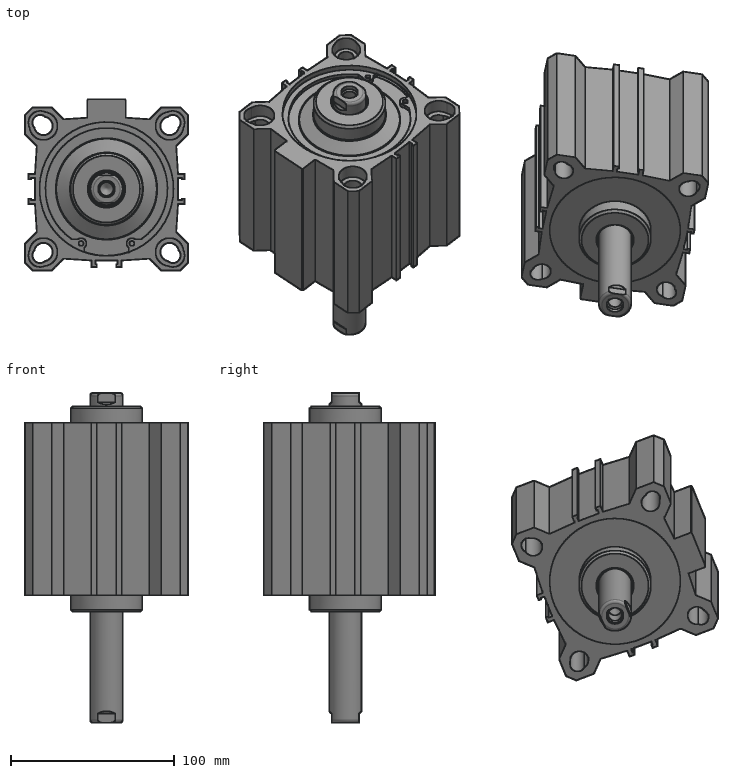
import cadquery as cq
import math

housing_height = 105.8
housing_width = 100.0
lobe_chamfer = 4.8
lobe_face_end = 33.5
valley_depth = 7.3
wall_offset = 43.8
wall_flat_half = 9.3
wall_overlap = 2.0

rail_outer = 9.3
rail_stem_inner = 6.7
rail_lip_inner = 5.9
rail_reach = 47.9
rail_lip_thickness = 1.8

port_width = 23.6
overall_depth = 105.0
port_chamfer = 0.6

main_hole_offset = 38.5
main_hole_diameter = 11.1
main_counterbore_diameter = 17.2
relief_hole_offset = 40.6
relief_hole_diameter = 9.3
relief_counterbore_diameter = 14.3
counterbore_depth = 9.3

bore_diameter = 80.0
seat_diameter = 82.0
flange_diameter = 81.6
ring_groove_diameter = 85.6
ring_drop = 3.8
ring_thickness = 2.5
cover_thickness = 16.2
boss_diameter = 44.0
boss_height = 10.0
boss_chamfer = 1.52

cone_base_diameter = 62.2
cone_base_step = 0.5
cone_base_ledge = 0.5
cone_top_diameter = 44.8
cone_top_drop = 1.8
cone_top_step = 0.8

rod_passage_diameter = 20.6
wiper_recess_diameter = 21.8
wiper_recess_depth = 2.0
wiper_mouth_diameter = 23.0

ring_inner_radius = 37.4
lug_x = 15.5
lug_y = -33.3
lug_radius = 3.2
lug_hole_diameter = 3.0
lug_line_y = -30.7
ring_gap_half = 13.7

rod_diameter = 20.0
rod_top_reach = 8.0
rod_bottom_reach = 67.9
rod_end_round = 1.8
flat_distance = 17.0
flat_length = 5.7
end_recess_diameter = 10.3
end_recess_depth = 2.6
end_hole_diameter = 8.3
end_hole_depth = 16.2
drill_point_angle = 118

half_width = housing_width / 2
port_reach = overall_depth - half_width
housing_top = housing_height
ring_top = housing_top - ring_drop
ring_bottom = ring_top - ring_thickness
rod_top = housing_top + boss_height + rod_top_reach
rod_bottom = -boss_height - rod_bottom_reach


def cylinder(diameter, bottom, top):
    return cq.Workplane("XY").workplane(offset=bottom).circle(diameter / 2).extrude(top - bottom)


def prism(points):
    return cq.Workplane("XY").polyline(points).close().extrude(housing_height)


def turned(points):
    """Solid of revolution about Z from (radius, height) points."""
    return cq.Workplane("XZ").polyline(points).close().revolve(360, (0, 0), (0, 1))


def profile_blank():
    valley_along = lobe_face_end - valley_depth
    valley_across = half_width - valley_depth
    lobe_tip = half_width - lobe_chamfer
    side = [
        (-lobe_tip, -half_width),
        (-lobe_face_end, -half_width),
        (-valley_along, -valley_across),
        (-wall_flat_half, -wall_offset),
        (wall_flat_half, -wall_offset),
        (valley_along, -valley_across),
        (lobe_face_end, -half_width),
        (lobe_tip, -half_width),
    ]
    outline = []
    for _ in range(4):
        outline += side
        side = [(-y, x) for x, y in side]
    return prism(outline)


def rail_pair():
    """Two facing hooks on the -Y wall."""
    lip_back = -rail_reach + rail_lip_thickness
    hook = prism([
        (-rail_outer, -wall_offset + wall_overlap),
        (-rail_outer, -rail_reach),
        (-rail_lip_inner, -rail_reach),
        (-rail_lip_inner, lip_back),
        (-rail_stem_inner, lip_back),
        (-rail_stem_inner, -wall_offset + wall_overlap),
    ])
    return hook.union(hook.mirror("YZ"))


def port_block():
    root = wall_offset - wall_overlap
    block = cq.Workplane("XY").box(port_width, port_reach - root, housing_height, centered=(True, False, False))
    return block.translate((0, root, 0)).edges("|Z and >Y").chamfer(port_chamfer)


def mounting_hole():
    """Cutter for the hole in the +X +Y lobe."""
    counterbore_floor = housing_top - counterbore_depth
    cutter = cq.Workplane("XY")
    for offset, hole_diameter, counterbore_diameter in (
        (main_hole_offset, main_hole_diameter, main_counterbore_diameter),
        (relief_hole_offset, relief_hole_diameter, relief_counterbore_diameter),
    ):
        hole = cylinder(hole_diameter, 0, housing_top)
        counterbore = cylinder(counterbore_diameter, counterbore_floor, housing_top)
        cutter = cutter.add(hole.union(counterbore).translate((offset, offset, 0)))
    return cutter.combine()


def make_housing():
    body = profile_blank().union(port_block())
    for angle in (-90, 0, 90):
        body = body.union(rail_pair().rotate((0, 0, 0), (0, 0, 1), angle))
    for quarter in range(4):
        body = body.cut(mounting_hole().rotate((0, 0, 0), (0, 0, 1), 90 * quarter))
    body = body.cut(cylinder(bore_diameter, 0, housing_top))
    body = body.cut(cylinder(seat_diameter, ring_bottom - cover_thickness, housing_top))
    return body.cut(cylinder(ring_groove_diameter, ring_bottom, ring_top))


def rod_passage(bottom, boss_top):
    """Cutter for the rod hole, with a chamfered wiper recess at the boss face."""
    passage_radius = rod_passage_diameter / 2
    recess_radius = wiper_recess_diameter / 2
    mouth_radius = wiper_mouth_diameter / 2
    mouth_depth = mouth_radius - recess_radius
    return turned([
        (0, bottom),
        (passage_radius, bottom),
        (passage_radius, boss_top - wiper_recess_depth),
        (recess_radius, boss_top - wiper_recess_depth),
        (recess_radius, boss_top - mouth_depth),
        (mouth_radius, boss_top),
        (0, boss_top),
    ])


def make_upper_cover():
    bottom = ring_bottom - cover_thickness
    boss_top = housing_top + boss_height
    boss_radius = boss_diameter / 2
    cone_top = housing_top - cone_top_drop
    cover = turned([
        (0, bottom),
        (flange_diameter / 2, bottom),
        (flange_diameter / 2, ring_bottom),
        (cone_base_diameter / 2, ring_bottom),
        (cone_base_diameter / 2, ring_bottom + cone_base_step),
        (cone_base_diameter / 2 - cone_base_ledge, ring_bottom + cone_base_step),
        (cone_top_diameter / 2, cone_top),
        (cone_top_diameter / 2, cone_top + cone_top_step),
        (boss_radius, cone_top + cone_top_step),
        (boss_radius, boss_top - boss_chamfer),
        (boss_radius - boss_chamfer, boss_top),
        (0, boss_top),
    ])
    return cover.cut(rod_passage(bottom, boss_top))


def make_lower_cover():
    """Plug in the bore with a boss below it, built upside down and turned over."""
    plug = cylinder(bore_diameter, -cover_thickness, 0)
    boss = cylinder(boss_diameter, 0, boss_height).faces(">Z").chamfer(boss_chamfer)
    cover = plug.union(boss).cut(rod_passage(-cover_thickness, boss_height))
    return cover.mirror("XY")


def make_retaining_ring():
    """Open ring with an eyed lug at each side of its gap."""
    outer_radius = ring_groove_diameter / 2
    band = cylinder(2 * outer_radius, ring_bottom, ring_top)
    band = band.cut(cylinder(2 * ring_inner_radius, ring_bottom, ring_top))
    disc = cylinder(2 * outer_radius, ring_bottom, ring_top)
    layer = cq.Workplane("XY").workplane(offset=ring_bottom)
    gap = layer.rect(2 * ring_gap_half, outer_radius * 2).extrude(ring_thickness)
    ring = band.cut(gap.translate((0, -outer_radius, 0)))
    band_meeting_x = math.sqrt(ring_inner_radius**2 - lug_line_y**2)
    for side in (-1, 1):
        web = layer.polyline([
            (side * band_meeting_x, lug_line_y),
            (side * lug_x, lug_line_y),
            (side * ring_gap_half, lug_y),
            (side * ring_gap_half, -outer_radius),
            (side * band_meeting_x, -outer_radius),
        ]).close().extrude(ring_thickness)
        eye = cylinder(2 * lug_radius, ring_bottom, ring_top).translate((side * lug_x, lug_y, 0))
        hole = cylinder(lug_hole_diameter, ring_bottom, ring_top).translate((side * lug_x, lug_y, 0))
        ring = ring.union(web.intersect(disc)).union(eye).cut(hole)
    return ring


def rod_end_cut():
    """Cutter for one rod end whose face is at Z = 0, with the rod below it."""
    rod_radius = rod_diameter / 2
    flat_offset = flat_distance / 2
    ramp = rod_radius - flat_offset
    flat = (
        cq.Workplane("YZ")
        .polyline([
            (flat_offset, 0),
            (flat_offset, -flat_length),
            (rod_radius, -flat_length - ramp),
            (rod_radius, 0),
        ])
        .close()
        .extrude(rod_radius, both=True)
    )
    recess_radius = end_recess_diameter / 2
    hole_radius = end_hole_diameter / 2
    point_depth = hole_radius / math.tan(math.radians(drill_point_angle / 2))
    neck_depth = end_recess_depth + recess_radius - hole_radius
    hole = turned([
        (0, 0),
        (recess_radius, 0),
        (recess_radius, -end_recess_depth),
        (hole_radius, -neck_depth),
        (hole_radius, -end_hole_depth),
        (0, -end_hole_depth - point_depth),
    ])
    return flat.union(flat.mirror("XZ")).union(hole)


def make_piston_rod():
    rod = cylinder(rod_diameter, rod_bottom, rod_top).faces("<Z or >Z").edges().fillet(rod_end_round)
    rod = rod.cut(rod_end_cut().translate((0, 0, rod_top)))
    return rod.cut(rod_end_cut().mirror("XY").translate((0, 0, rod_bottom)))


housing = make_housing()
upper_cover = make_upper_cover()
lower_cover = make_lower_cover()
retaining_ring = make_retaining_ring()
piston_rod = make_piston_rod()

result = cq.Compound.makeCompound([
    housing.val(),
    upper_cover.val(),
    lower_cover.val(),
    retaining_ring.val(),
    piston_rod.val(),
])